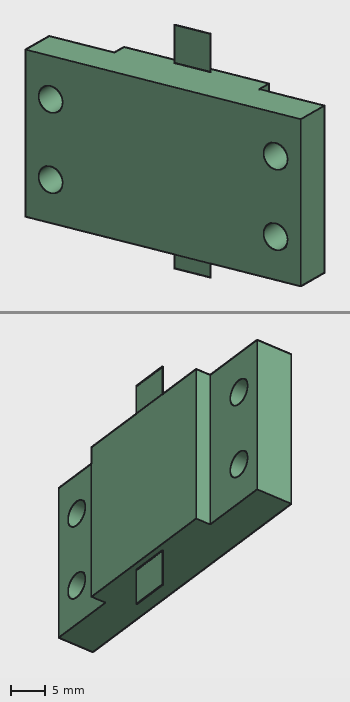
import cadquery as cq

plate_length = 48.2
plate_height = 26.35
plate_thickness = 6.25

total_depth = 8.8
block_length = 25.4

hole_diameter = 4.2
hole_spacing_x = 39.4
hole_spacing_z = 12.7

lead_width = 6.3
lead_span = 38.4
lead_thickness = 0.15
lead_center_y = 7.75


def centered_box(length, height, front_y, depth):
    """Box centred on X and Z that starts at front_y and extends toward +Y."""
    return (
        cq.Workplane("XY")
        .box(length, depth, height, centered=(True, False, True))
        .translate((0, front_y, 0))
    )


plate = centered_box(plate_length, plate_height, 0, plate_thickness)
plate = (
    plate.faces("<Y")
    .workplane(centerOption="CenterOfBoundBox")
    .rarray(hole_spacing_x, hole_spacing_z, 2, 2)
    .hole(hole_diameter)
)

block = centered_box(block_length, plate_height, plate_thickness, total_depth - plate_thickness)
lead = centered_box(lead_width, lead_span, lead_center_y - lead_thickness / 2, lead_thickness)

result = plate.union(block).union(lead)